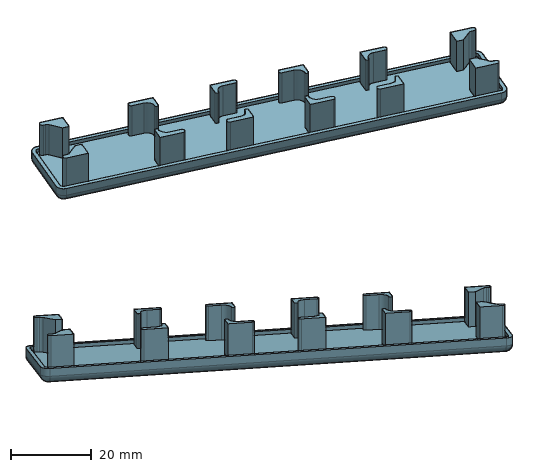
import cadquery as cq
import math

LENGTH = 120.0
WIDTH = 20.0
TOTAL_HEIGHT = 12.0
TRAY_HEIGHT = 4.0
CORNER_RADIUS = 2.0
BOTTOM_FILLET = 1.9
RIM_WIDTH = 1.1
RIM_DEPTH = 1.0
FLOOR_Z = TRAY_HEIGHT - RIM_DEPTH

POST_SIDE_INSET = 1.5
POST_X = WIDTH / 2 - POST_SIDE_INSET
ARM_WIDTH = 1.5
ARM_TIP_RADIUS = ARM_WIDTH / 2

CORNER_POST_END_INSET = 1.9
CORNER_POST_LENGTH = 6.5
CORNER_POST_WIDTH = 4.3
CORNER_POST_HEEL = 1.8
CORNER_POST_BLEND = 1.2
SLOPE_ANGLE = 45

CLIP_LENGTH = 6.8
CLIP_WIDTH = 4.0
CLIP_FOOT = 1.0
CLIP_BLEND = 2.0
CLIP_TIP_FILLET = 0.6
CLIP_FOOT_FILLET = 0.4
PAIR_CENTER_Y = LENGTH / 6
LEFT_FOOT_OFFSET = 7.5
RIGHT_FOOT_OFFSET = 12.5


def make_tray():
    tray = (
        cq.Workplane("XY")
        .rect(WIDTH, LENGTH)
        .extrude(TRAY_HEIGHT)
        .edges("|Z")
        .fillet(CORNER_RADIUS)
        .faces("<Z")
        .edges()
        .fillet(BOTTOM_FILLET)
    )
    recess = (
        cq.Workplane("XY")
        .workplane(offset=FLOOR_Z)
        .rect(WIDTH - 2 * RIM_WIDTH, LENGTH - 2 * RIM_WIDTH)
        .extrude(RIM_DEPTH)
        .edges("|Z")
        .fillet(CORNER_RADIUS - RIM_WIDTH)
    )
    return tray.cut(recess)


def raise_post(outline):
    """Extrude a closed outline from the tray floor to the full height."""
    return outline.close().extrude(TOTAL_HEIGHT - FLOOR_Z)


def make_corner_post():
    """Post with its outer heel corner at the origin, widening along +X, tip along +Y."""
    turn = math.radians(SLOPE_ANGLE)
    blend_rise = CORNER_POST_BLEND * math.sin(turn)
    blend_run = CORNER_POST_BLEND * (1 - math.cos(turn))
    slope_x = ARM_WIDTH + blend_run
    slope_y = CORNER_POST_HEEL + (CORNER_POST_WIDTH - slope_x) / math.tan(turn)
    blend_mid = (
        ARM_WIDTH + CORNER_POST_BLEND * (1 - math.cos(turn / 2)),
        slope_y + blend_rise - CORNER_POST_BLEND * math.sin(turn / 2),
    )
    shoulder_y = CORNER_POST_LENGTH - ARM_TIP_RADIUS
    outline = (
        cq.Workplane("XY")
        .workplane(offset=FLOOR_Z)
        .moveTo(0, 0)
        .lineTo(CORNER_POST_WIDTH, 0)
        .lineTo(CORNER_POST_WIDTH, CORNER_POST_HEEL)
        .lineTo(slope_x, slope_y)
        .threePointArc(blend_mid, (ARM_WIDTH, slope_y + blend_rise))
        .lineTo(ARM_WIDTH, shoulder_y)
        .threePointArc((ARM_TIP_RADIUS, CORNER_POST_LENGTH), (0, shoulder_y))
    )
    return raise_post(outline)


def make_clip_post():
    """L-shaped post with its outer corner at the origin, foot along +X, arm along +Y."""
    outline = (
        cq.Workplane("XY")
        .workplane(offset=FLOOR_Z)
        .moveTo(0, 0)
        .lineTo(CLIP_WIDTH, 0)
        .lineTo(CLIP_WIDTH, CLIP_FOOT)
        .lineTo(ARM_WIDTH + CLIP_BLEND, CLIP_FOOT)
        .radiusArc((ARM_WIDTH, CLIP_FOOT + CLIP_BLEND), CLIP_BLEND)
        .lineTo(ARM_WIDTH, CLIP_LENGTH)
        .lineTo(0, CLIP_LENGTH)
    )
    post = raise_post(outline)
    post = post.faces(">Y").edges("|Z").fillet(CLIP_TIP_FILLET)
    return post.faces(">X").edges("|Z").fillet(CLIP_FOOT_FILLET)


def place(post, side, y, arm_direction):
    """Set a post on the left (-1) or right (+1) side with its arm along +Y or -Y."""
    if side > 0:
        post = post.mirror("YZ")
    if arm_direction < 0:
        post = post.mirror("XZ")
    return post.translate((side * POST_X, y, 0))


result = make_tray()

corner_post = make_corner_post()
corner_heel_y = LENGTH / 2 - CORNER_POST_END_INSET - CORNER_POST_LENGTH
for side in (-1, 1):
    for end in (-1, 1):
        result = result.union(place(corner_post, side, end * corner_heel_y, end))

clip_post = make_clip_post()
for pair_y in (-PAIR_CENTER_Y, PAIR_CENTER_Y):
    for end in (-1, 1):
        left_y = pair_y + end * LEFT_FOOT_OFFSET
        right_y = pair_y + end * RIGHT_FOOT_OFFSET
        result = result.union(place(clip_post, -1, left_y, end))
        result = result.union(place(clip_post, 1, right_y, -end))